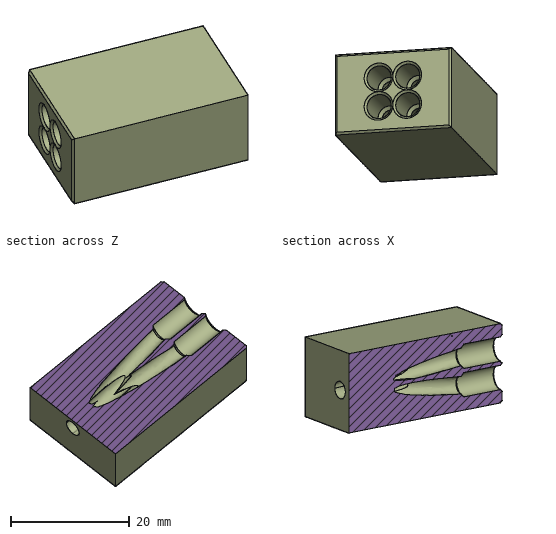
import cadquery as cq

width = 20.25
length = 32.0
height = 14.0
front_chamfer = 0.4

pitch = 5.0
mouth_diameter = pitch
socket_diameter = 4.2
socket_depth = 8.0
mouth_depth = (mouth_diameter - socket_diameter) / 2

channel_diameter = 3.0
channel_start = socket_depth + (socket_diameter - channel_diameter) / 2


def make_block():
    """Block with all four edges of its front face chamfered."""
    return (
        cq.Workplane("XY")
        .box(width, length, height)
        .translate((0, length / 2, 0))
        .faces("<Y")
        .chamfer(front_chamfer)
    )


def make_socket(x, z):
    """Round socket with a 45 degree chamfer at its mouth and a 45 degree cone at its bottom."""
    return (
        cq.Workplane("XY")
        .lineTo(mouth_diameter / 2, 0)
        .lineTo(socket_diameter / 2, mouth_depth)
        .lineTo(socket_diameter / 2, socket_depth)
        .lineTo(channel_diameter / 2, channel_start)
        .lineTo(0, channel_start)
        .close()
        .revolve(360, (0, 0), (0, 1))
        .translate((x, 0, z))
    )


def make_channel(x, z):
    """Straight slanted channel from a socket to the middle of the back face."""
    return (
        cq.Workplane("XZ", origin=(x, channel_start, z))
        .circle(channel_diameter / 2)
        .workplane(offset=channel_start - length)
        .center(-x, -z)
        .circle(channel_diameter / 2)
        .loft(ruled=True)
    )


result = make_block()
for hole_x in (-pitch / 2, pitch / 2):
    for hole_z in (-pitch / 2, pitch / 2):
        result = result.cut(make_socket(hole_x, hole_z))
        result = result.cut(make_channel(hole_x, hole_z))